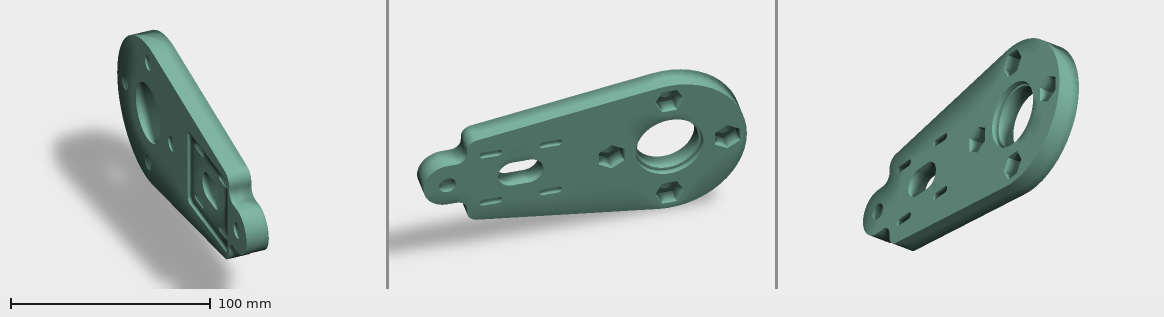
import cadquery as cq
import math

length = 167.5
thickness = 12.0
head_radius = 40.0

ear_radius = 12.5
ear_x = length - head_radius - ear_radius
ear_hole_diameter = 8.7

shoulder_x = 104.9
shoulder_half_height = 25.3
shoulder_fillet = 6.0
neck_fillet = 5.5

bore_diameter = 32.0
bolt_circle_radius = 30.0
bolt_hole_diameter = 8.0
bolt_count = 4

bore_recess_diameter = 35.0
bore_recess_depth = 3.0
nut_across_flats = 13.0
nut_pocket_depth = 8.2

motor_x = 77.0
pocket_length = 51.6
pocket_height = 42.9
pocket_depth = 2.0
pocket_fillet = 3.0
shaft_slot_length = 23.5
shaft_slot_height = 14.9
screw_spacing = 31.0
screw_slot_length = 11.7
screw_slot_height = 3.7


def front_sketch():
    """Workplane on the front face whose normal points to -Y, out of the plate."""
    return cq.Workplane("XZ")


def rear_sketch():
    """Workplane on the rear face, from which a positive extrusion cuts into the plate."""
    return cq.Workplane("XZ", origin=(0, thickness, 0))


def plate_prism(sketch):
    """Extrude a closed sketch from the front face through the plate thickness."""
    return sketch.extrude(-thickness)


def make_body():
    """Round head whose tangent flanks run straight to the shoulder."""
    corner_distance = math.hypot(shoulder_x, shoulder_half_height)
    corner_angle = math.atan2(shoulder_half_height, shoulder_x)
    tangent_angle = corner_angle + math.acos(head_radius / corner_distance)
    tangent_x = head_radius * math.cos(tangent_angle)
    tangent_z = head_radius * math.sin(tangent_angle)
    return plate_prism(
        front_sketch()
        .moveTo(tangent_x, tangent_z)
        .threePointArc((-head_radius, 0), (tangent_x, -tangent_z))
        .lineTo(shoulder_x, -shoulder_half_height)
        .lineTo(shoulder_x, shoulder_half_height)
        .close()
    )


def make_ear():
    """Round-ended tab that starts inside the body and ends at full length."""
    return plate_prism(
        front_sketch()
        .moveTo(motor_x, ear_radius)
        .lineTo(ear_x, ear_radius)
        .threePointArc((ear_x + ear_radius, 0), (ear_x, -ear_radius))
        .lineTo(motor_x, -ear_radius)
        .close()
    )


def fillet_shoulder(plate, half_height, radius):
    """Round the two mirrored thickness edges at the shoulder."""
    edges = plate.edges(
        cq.selectors.NearestToPointSelector((shoulder_x, thickness / 2, half_height))
        + cq.selectors.NearestToPointSelector((shoulder_x, thickness / 2, -half_height))
    )
    return edges.fillet(radius)


def make_outline():
    plate = make_body().union(make_ear())
    plate = fillet_shoulder(plate, shoulder_half_height, shoulder_fillet)
    return fillet_shoulder(plate, ear_radius, neck_fillet)


def make_round_holes():
    bore = plate_prism(front_sketch().circle(bore_diameter / 2))
    bolts = plate_prism(
        front_sketch()
        .polarArray(bolt_circle_radius, 0, 360, bolt_count)
        .circle(bolt_hole_diameter / 2)
    )
    ear_hole = plate_prism(front_sketch().center(ear_x, 0).circle(ear_hole_diameter / 2))
    return bore.union(bolts).union(ear_hole)


def make_bore_recess():
    """Shallow round seat at the rear end of the bore."""
    return rear_sketch().circle(bore_recess_diameter / 2).extrude(bore_recess_depth)


def make_nut_pockets():
    """Hexagonal pockets behind the bolt holes, each with two flats at right angles to its radius."""
    first_pocket = (
        rear_sketch()
        .center(0, bolt_circle_radius)
        .polygon(6, nut_across_flats / math.cos(math.pi / 6))
        .extrude(nut_pocket_depth)
    )
    pockets = first_pocket
    for index in range(1, bolt_count):
        turn = index * 360 / bolt_count
        pockets = pockets.union(first_pocket.rotate((0, 0, 0), (0, 1, 0), turn))
    return pockets


def make_motor_cutout():
    """Shallow pocket, elongated shaft opening and four screw slots."""
    motor_plane = front_sketch().center(motor_x, 0)
    pocket = (
        motor_plane.rect(pocket_length, pocket_height)
        .extrude(-pocket_depth)
        .edges("|Y")
        .fillet(pocket_fillet)
    )
    shaft_slot = plate_prism(motor_plane.slot2D(shaft_slot_length, shaft_slot_height))
    screw_slots = plate_prism(
        motor_plane.rarray(screw_spacing, screw_spacing, 2, 2)
        .slot2D(screw_slot_length, screw_slot_height)
    )
    return pocket.union(shaft_slot).union(screw_slots)


result = (
    make_outline()
    .cut(make_round_holes())
    .cut(make_bore_recess())
    .cut(make_nut_pockets())
    .cut(make_motor_cutout())
)